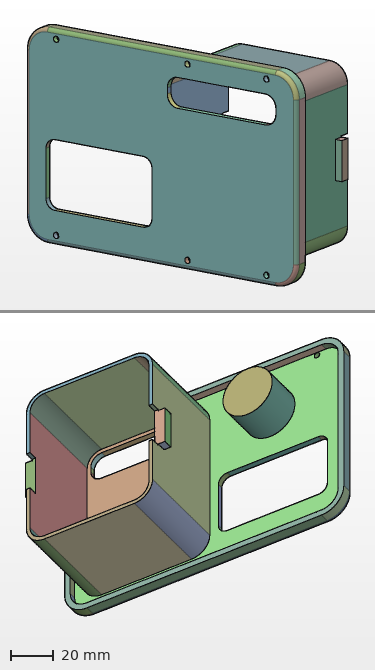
import cadquery as cq

PLATE_LENGTH = 155.0
PLATE_HEIGHT = 105.0
PLATE_DEPTH = 7.0
PLATE_CORNER = 12.4
FRONT_ROUND = 2.0
SKIN = 3.1
RIM_WALL = 3.1

OVERALL_DEPTH = 53.0
HOUSING_WIDTH = 70.0
HOUSING_HEIGHT = 89.0
HOUSING_CENTER_X = 34.4
HOUSING_CORNER = 10.0
HOUSING_WALL = 2.0

NOTCH_HEIGHT = 21.1
NOTCH_DEPTH = 5.0
TAB_HEIGHT = 20.0
TAB_DEPTH = 5.1
TAB_REACH = 3.7

BOSS_DIAMETER = 27.3
BOSS_X = -34.3
BOSS_Z = 23.9
BOSS_HEIGHT = 16.0

WINDOW_WIDTH = 60.5
WINDOW_HEIGHT = 34.4
WINDOW_CENTER = (-35.6, -18.5)
WINDOW_CORNER = 5.0
SLOT_WIDTH = 62.0
SLOT_HEIGHT = 15.0
SLOT_CENTER = (34.4, 32.9)
SLOT_CORNER = 6.0

SCREW_DIAMETER = 3.0
SCREW_XS = (-60.1, 14.9, 60.0)
SCREW_Z = 47.7


def rounded_block(width, height, corner, center, y_start, y_end):
    """Block along Y with its four Y-parallel edges rounded."""
    x, z = center
    block = cq.Workplane("XY").box(width, y_end - y_start, height)
    block = block.edges("|Y").fillet(corner)
    return block.translate((x, (y_start + y_end) / 2, z))


def cylinder(diameter, center, y_start, y_end):
    """Cylinder along Y."""
    x, z = center
    disc = cq.Workplane("XZ", origin=(x, y_start, z)).circle(diameter / 2)
    return disc.extrude(y_start - y_end)


def make_plate():
    plate = rounded_block(PLATE_LENGTH, PLATE_HEIGHT, PLATE_CORNER, (0, 0), 0, PLATE_DEPTH)
    plate = plate.faces("<Y").edges().fillet(FRONT_ROUND)
    pocket = rounded_block(
        PLATE_LENGTH - 2 * RIM_WALL,
        PLATE_HEIGHT - 2 * RIM_WALL,
        PLATE_CORNER - RIM_WALL,
        (0, 0),
        SKIN,
        PLATE_DEPTH,
    )
    return plate.cut(pocket)


def make_housing():
    center = (HOUSING_CENTER_X, 0)
    outer = rounded_block(HOUSING_WIDTH, HOUSING_HEIGHT, HOUSING_CORNER, center, SKIN, OVERALL_DEPTH)
    inner = rounded_block(
        HOUSING_WIDTH - 2 * HOUSING_WALL,
        HOUSING_HEIGHT - 2 * HOUSING_WALL,
        HOUSING_CORNER - HOUSING_WALL,
        center,
        SKIN,
        OVERALL_DEPTH,
    )
    notch_floor = OVERALL_DEPTH - NOTCH_DEPTH
    notch = cq.Workplane("XY").box(HOUSING_WIDTH, NOTCH_DEPTH, NOTCH_HEIGHT)
    notch = notch.translate((HOUSING_CENTER_X, notch_floor + NOTCH_DEPTH / 2, 0))
    tab_bar = cq.Workplane("XY").box(HOUSING_WIDTH + 2 * TAB_REACH, TAB_DEPTH, TAB_HEIGHT)
    tab_bar = tab_bar.translate((HOUSING_CENTER_X, notch_floor - TAB_DEPTH / 2, 0))
    return outer.cut(notch).union(tab_bar).cut(inner)


def make_openings():
    window = rounded_block(WINDOW_WIDTH, WINDOW_HEIGHT, WINDOW_CORNER, WINDOW_CENTER, 0, SKIN)
    slot = rounded_block(SLOT_WIDTH, SLOT_HEIGHT, SLOT_CORNER, SLOT_CENTER, 0, SKIN)
    openings = window.union(slot)
    for x in SCREW_XS:
        for z in (-SCREW_Z, SCREW_Z):
            openings = openings.union(cylinder(SCREW_DIAMETER, (x, z), 0, SKIN))
    return openings


boss = cylinder(BOSS_DIAMETER, (BOSS_X, BOSS_Z), SKIN, PLATE_DEPTH + BOSS_HEIGHT)
result = make_plate().union(make_housing()).union(boss).cut(make_openings())